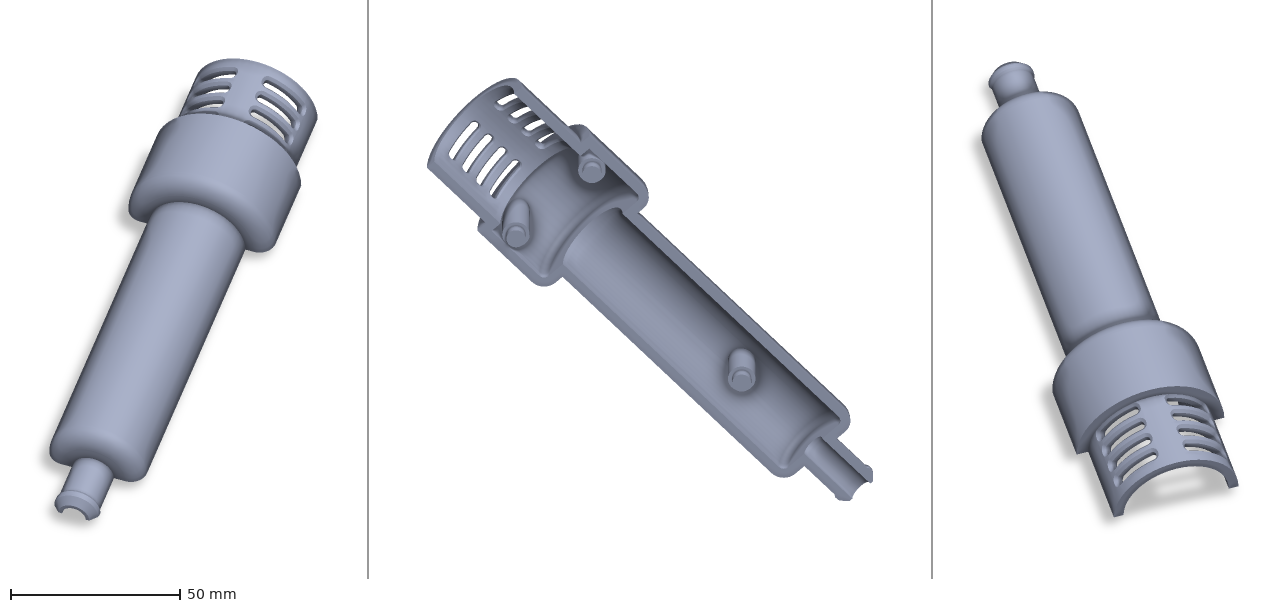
import cadquery as cq
import math

total_length = 166.2
body_front = 17.6
collar_front = 112.4
collar_back = 140.8

nozzle_radius = 6.5
body_radius = 15.1
collar_radius = 22.85
cap_radius = 19.3
shoulder_fillet = 5.0

wall = 3.0
bore_radius = 3.7

bead_radius = 7.0
bead_ramp_start = 4.7
bead_start = 3.8
bead_end = 2.7
lip_radius = 6.8
lip_position = 2.2
tip_radius = 4.8

slot_width = 2.8
slot_start_angle = 28.5
slot_sweep = 47.5
slot_corner_radius = 1.2
slots_per_side = 4
first_slot_inset = 5.7
slot_row_span = 17.6
slot_outer_chamfer = 0.8
slot_inner_chamfer = 0.5

pin_diameter = 5.7
pin_length = 2.75
post_diameter = 8.1
collar_pin_x = 15.5
collar_pin_y = 132.0
body_pin_y = 51.4
pin_places = [
    (-collar_pin_x, collar_pin_y),
    (collar_pin_x, collar_pin_y),
    (0, body_pin_y),
]


def half_revolve(profile):
    """Turn a (radius, y) profile half way round the Y axis, on the +Z side."""
    return profile.close().revolve(180, (0, 0, 0), (0, -1, 0))


def rounded_shoulder(profile, y, radius, fillet):
    """Continue a profile out along a face at y and round it onto a cylinder."""
    bend = fillet * (1 - math.sqrt(0.5))
    return (
        profile.lineTo(radius - fillet, y)
        .threePointArc((radius - bend, y + bend), (radius, y + fillet))
    )


def housing_form():
    """Solid outside of the nozzle, body and collar."""
    profile = (
        cq.Workplane("XY")
        .lineTo(tip_radius, 0)
        .lineTo(lip_radius, lip_position)
        .lineTo(bead_radius, bead_end)
        .lineTo(bead_radius, bead_start)
        .lineTo(nozzle_radius, bead_ramp_start)
        .lineTo(nozzle_radius, body_front)
    )
    profile = rounded_shoulder(profile, body_front, body_radius, shoulder_fillet)
    profile = profile.lineTo(body_radius, collar_front)
    profile = rounded_shoulder(profile, collar_front, collar_radius, shoulder_fillet)
    profile = profile.lineTo(collar_radius, collar_back).lineTo(0, collar_back)
    return half_revolve(profile)


def housing_cavity():
    """Interior one wall inside the housing, open at the tip and into the cap."""
    inner_fillet = shoulder_fillet - wall
    body_inner_front = body_front + wall
    collar_inner_front = collar_front + wall
    collar_inner_back = collar_back - wall
    collar_inner_radius = collar_radius - wall
    cap_inner_radius = cap_radius - wall

    profile = cq.Workplane("XY").lineTo(bore_radius, 0).lineTo(bore_radius, body_inner_front)
    profile = rounded_shoulder(profile, body_inner_front, body_radius - wall, inner_fillet)
    profile = profile.lineTo(body_radius - wall, collar_inner_front)
    profile = rounded_shoulder(profile, collar_inner_front, collar_inner_radius, inner_fillet)
    profile = (
        profile.lineTo(collar_inner_radius, collar_inner_back)
        .lineTo(cap_inner_radius, collar_inner_back)
        .lineTo(cap_inner_radius, collar_back)
        .lineTo(0, collar_back)
    )
    return half_revolve(profile)


def vent_slot(y, side):
    """Plug of one slot: an arc of rectangular section with radial, corner-rounded ends."""
    plug = (
        cq.Workplane("XY")
        .center(cap_radius, y)
        .rect(4 * wall, slot_width)
        .revolve(slot_sweep, (-cap_radius, 0, 0), (-cap_radius, -1, 0))
        .edges("%LINE")
        .edges("not |Y")
        .fillet(slot_corner_radius)
        .rotate((0, 0, 0), (0, -1, 0), slot_start_angle)
    )
    return plug if side > 0 else plug.mirror("YZ")


def slot_rims(cap, area_rank):
    """Edges round the slot openings in one face of the cap, ranked by area."""
    skin = cap.faces(cq.selectors.AreaNthSelector(area_rank)).val()
    return [edge for wire in skin.innerWires() for edge in wire.Edges()]


def vented_cap():
    """Half tube, open at its end, rooted in the collar's back wall."""
    root = collar_back - wall
    cap = half_revolve(
        cq.Workplane("XY")
        .moveTo(cap_radius - wall, root)
        .lineTo(cap_radius, root)
        .lineTo(cap_radius, total_length)
        .lineTo(cap_radius - wall, total_length)
    )
    slot_pitch = slot_row_span / (slots_per_side - 1)
    for side in (-1, 1):
        for index in range(slots_per_side):
            slot_y = total_length - first_slot_inset - index * slot_pitch
            cap = cap.cut(vent_slot(slot_y, side))

    outer_rims = slot_rims(cap, -1)
    inner_rims = slot_rims(cap, -2)
    cap = cap.newObject(outer_rims).chamfer(slot_outer_chamfer)
    return cap.newObject(inner_rims).chamfer(slot_inner_chamfer)


def pin_cylinders(diameter, height):
    return cq.Workplane("XY").pushPoints(pin_places).circle(diameter / 2).extrude(height)


housing = housing_form()
posts = pin_cylinders(post_diameter, collar_radius).intersect(housing)
pins = pin_cylinders(pin_diameter, -pin_length)

result = housing.cut(housing_cavity()).union(vented_cap()).union(posts).union(pins)